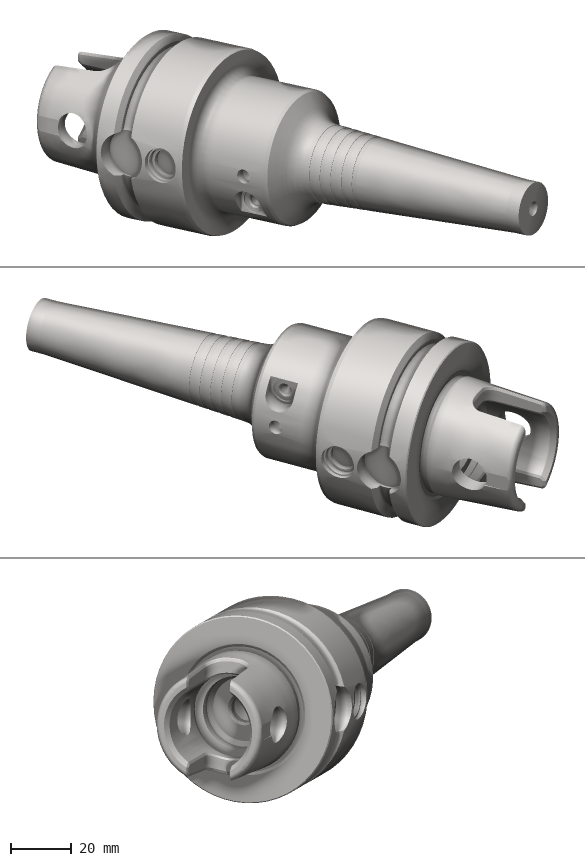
import cadquery as cq
import math


total_length = 182.0
shank_nose_round = 1.8
shank_end = 29.8
relief_start = 30.8
flange_start = 31.8
v_groove_start = 38.4
v_groove_end = 45.1
flange_end = 65.2
body_end = 91.7
nose_cone_start = 92.8
nose_cone_end = 95.7
nose_taper_start = 102.1
tip_length = 5.0

shank_front_radius = 18.5
shank_back_radius = 20.2
relief_radius = 19.8
recess_floor_radius = 21.1
recess_mouth_radius = 22.0
recess_depth = 0.5
flange_radius = 63.0 / 2
v_groove_radius = 27.8
body_radius = 23.0
nose_cone_start_radius = 22.4
nose_cone_end_radius = 17.1
nose_radius = 13.3
tip_radius = 18.0 / 2
flange_chamfer = 0.4
flange_back_chamfer = 1.5
v_groove_bevel = 1.3
v_groove_lip = 2.2
body_fillet = 3.1

cavity_mouth_radius = 15.5
cavity_radius = 14.2
cavity_step_radius = 12.2
cavity_floor_radius = 10.7
cavity_mouth_length = 1.8
undercut_start = 24.2
undercut_depth = 1.0
cavity_step = 27.3
cavity_step_end = 31.0
cavity_floor = 32.8
coolant_mouth_diameter = 11.0
coolant_bore_diameter = 9.3
coolant_diameter = 5.0
coolant_bore_length = 3.6

slot_width = 14.4
slot_end = 20.5
slot_corner = 4.2
slot_chamfer = 0.5
shank_hole_x = 15.0
shank_hole_diameter = 12.0
flat_width = 5.3
flat_height = 18.4

gripper_hole_x = 41.9
gripper_hole_diameter = 16.0
gripper_hole_floor = 25.8
data_hole_x = 57.0
data_hole_diameter = 11.0
data_hole_mouth_diameter = 12.0
data_hole_floor_diameter = 9.0
data_hole_mouth_depth = 1.8
data_hole_step_depth = 3.6
data_hole_depth = 5.5

body_cut_x = 83.9
small_hole_z = -1.1
small_hole_diameter = 5.0
small_hole_depth = 3.6
small_hole_tip_diameter = 2.4
pocket_z = -11.6
pocket_width = 10.0
pocket_floor = 16.4
screw_diameter = 8.0
screw_gap_depth = 0.5
screw_socket_diameter = 4.0
screw_socket_mouth_diameter = 5.0
screw_socket_depth = 1.8

ring_count = 5
ring_start = 103.2
ring_pitch = 4.0
ring_width = 1.6
ring_depth = 0.2

pick_margin = 0.2
cutter_overshoot = 1.8


def nose_radius_at(x):
    """Radius of the long nose taper at position x."""
    taper_length = total_length - tip_length - nose_taper_start
    return nose_radius + (tip_radius - nose_radius) * (x - nose_taper_start) / taper_length


def revolve_about_x(profile):
    return profile.close().revolve(360, (0, 0, 0), (1, 0, 0))


def side_cylinder(x, z, diameter, y_inner, y_outer):
    """Cylinder on the -Y side, reaching from y = -y_outer in to y = -y_inner."""
    return (
        cq.Workplane("XZ", origin=(x, 0, z))
        .workplane(offset=y_inner)
        .circle(diameter / 2)
        .extrude(y_outer - y_inner)
    )


def side_cone(x, z, outer_diameter, inner_diameter, y_outer):
    """Cone on the -Y side with 45 degree flanks, narrowing inward from y = -y_outer."""
    depth = (outer_diameter - inner_diameter) / 2
    base = cq.Vector(x, -y_outer, z)
    cone = cq.Solid.makeCone(outer_diameter / 2, inner_diameter / 2, depth, base, cq.Vector(0, 1, 0))
    return cq.Workplane(cone)


def cut_both_sides(part, cutter):
    """Cut on the -Y side and again half a turn round the X axis."""
    return part.cut(cutter).cut(cutter.rotate((0, 0, 0), (1, 0, 0), 180))


def make_outline():
    tip_start = total_length - tip_length
    lip_bottom = flange_radius - v_groove_lip
    diagonal = math.sqrt(0.5)
    round_mid = (
        shank_nose_round * (1 - diagonal),
        shank_front_radius - shank_nose_round * (1 - diagonal),
    )
    fillet_mid = (
        flange_end + body_fillet * (1 - diagonal),
        body_radius + body_fillet * (1 - diagonal),
    )
    profile = (
        cq.Workplane("XY")
        .lineTo(0, shank_front_radius - shank_nose_round)
        .threePointArc(round_mid, (shank_nose_round, shank_front_radius))
        .lineTo(shank_end, shank_back_radius)
        .lineTo(relief_start, relief_radius)
        .lineTo(flange_start + recess_depth, relief_radius)
        .lineTo(flange_start + recess_depth, recess_floor_radius)
        .lineTo(flange_start, recess_mouth_radius)
        .lineTo(flange_start, flange_radius - flange_chamfer)
        .lineTo(flange_start + flange_chamfer, flange_radius)
        .lineTo(v_groove_start, flange_radius)
        .lineTo(v_groove_start + v_groove_bevel, lip_bottom)
        .lineTo(v_groove_start + v_groove_bevel, v_groove_radius)
        .lineTo(v_groove_end - v_groove_bevel, v_groove_radius)
        .lineTo(v_groove_end - v_groove_bevel, lip_bottom)
        .lineTo(v_groove_end, flange_radius)
        .lineTo(flange_end - flange_back_chamfer, flange_radius)
        .lineTo(flange_end, flange_radius - flange_chamfer)
        .lineTo(flange_end, body_radius + body_fillet)
        .threePointArc(fillet_mid, (flange_end + body_fillet, body_radius))
        .lineTo(body_end, body_radius)
        .lineTo(nose_cone_start, nose_cone_start_radius)
        .lineTo(nose_cone_end, nose_cone_end_radius)
        .tangentArcPoint((nose_taper_start, nose_radius), relative=False)
        .lineTo(tip_start, tip_radius)
        .lineTo(total_length, tip_radius)
        .lineTo(total_length, 0)
    )
    return revolve_about_x(profile)


def make_cavity():
    cone_start = cavity_floor + coolant_bore_length
    mouth_chamfer = (coolant_mouth_diameter - coolant_bore_diameter) / 2
    cone_length = (coolant_bore_diameter - coolant_diameter) / 2
    profile = (
        cq.Workplane("XY")
        .lineTo(0, cavity_mouth_radius)
        .lineTo(cavity_mouth_length, cavity_radius)
        .lineTo(undercut_start, cavity_radius)
        .lineTo(undercut_start + undercut_depth, cavity_radius + undercut_depth)
        .lineTo(cavity_step, cavity_radius + undercut_depth)
        .lineTo(cavity_step, cavity_step_radius)
        .lineTo(cavity_step_end, cavity_step_radius)
        .lineTo(cavity_floor, cavity_floor_radius)
        .lineTo(cavity_floor, coolant_mouth_diameter / 2)
        .lineTo(cavity_floor + mouth_chamfer, coolant_bore_diameter / 2)
        .lineTo(cone_start, coolant_bore_diameter / 2)
        .lineTo(cone_start + cone_length, coolant_diameter / 2)
        .lineTo(total_length, coolant_diameter / 2)
        .lineTo(total_length, 0)
    )
    return revolve_about_x(profile)


def radius_of(edge):
    """Distance from the X axis to the middle of an edge."""
    middle = edge.positionAt(0.5)
    return math.hypot(middle.y, middle.z)


def chamfer_slot(part, smallest_radius, largest_radius, size):
    """Chamfer the slot edges that lie between two radii."""
    around_slot = cq.selectors.BoxSelector(
        (pick_margin, -slot_width, -flange_radius), (slot_end + pick_margin, slot_width, flange_radius)
    )
    edges = [
        edge
        for edge in part.edges(around_slot).vals()
        if smallest_radius < radius_of(edge) < largest_radius
        and abs(edge.positionAt(0.5).y) < slot_width / 2 + pick_margin
    ]
    return part.newObject(edges).chamfer(size)


def hollow_shank(part):
    """Cut the drive slot across the shank and bore the clamping cavity."""
    slot = (
        cq.Workplane("XY")
        .box(2 * slot_end, slot_width, 2 * flange_radius)
        .edges("|Z and >X")
        .fillet(slot_corner)
    )
    middle_radius = (cavity_mouth_radius + shank_front_radius) / 2
    part = chamfer_slot(part.cut(slot), middle_radius, flange_radius, slot_chamfer)
    part = part.cut(make_cavity())
    return chamfer_slot(part, cavity_step_radius, middle_radius - slot_chamfer, slot_chamfer)


def cut_shank_sides(part):
    flat = (
        cq.Workplane("XZ", origin=(0, -flat_height, 0))
        .rect(2 * shank_hole_x, flat_width)
        .extrude(shank_back_radius - flat_height)
    )
    cross_hole = side_cylinder(shank_hole_x, 0, shank_hole_diameter, 0, flange_radius)
    part = cut_both_sides(part, flat)
    return cut_both_sides(part, cross_hole)


def cut_flange(part):
    gripper_hole = side_cylinder(
        gripper_hole_x, 0, gripper_hole_diameter, gripper_hole_floor, flange_radius
    )
    part = cut_both_sides(part, gripper_hole)
    steps = (
        (data_hole_mouth_diameter, data_hole_mouth_depth),
        (data_hole_diameter, data_hole_step_depth),
        (data_hole_floor_diameter, data_hole_depth),
    )
    for diameter, depth in steps:
        step = side_cylinder(data_hole_x, 0, diameter, flange_radius - depth, flange_radius)
        part = cut_both_sides(part, step)
    return part


def cut_body(part):
    hole_floor = body_radius - small_hole_depth
    small_hole = side_cylinder(
        body_cut_x, small_hole_z, small_hole_diameter, hole_floor, body_radius
    ).union(side_cone(body_cut_x, small_hole_z, small_hole_diameter, small_hole_tip_diameter, hole_floor))
    part = cut_both_sides(part, small_hole)

    round_end = side_cylinder(body_cut_x, pocket_z, pocket_width, pocket_floor, body_radius)
    open_end = (
        cq.Workplane("XY", origin=(body_cut_x, -pocket_floor, pocket_z))
        .box(pocket_width, body_radius, body_radius, centered=(True, False, False))
        .rotate((0, -pocket_floor, pocket_z), (1, -pocket_floor, pocket_z), 180)
    )
    part = cut_both_sides(part, round_end.union(open_end))

    socket_floor = pocket_floor - screw_socket_depth
    head = side_cylinder(body_cut_x, pocket_z, screw_diameter, pocket_floor - screw_gap_depth, pocket_floor)
    socket = side_cylinder(body_cut_x, pocket_z, screw_socket_diameter, socket_floor, pocket_floor)
    socket_tip = side_cone(body_cut_x, pocket_z, screw_socket_diameter, 0, socket_floor)
    socket_mouth = side_cone(
        body_cut_x, pocket_z, screw_socket_mouth_diameter, screw_socket_diameter, pocket_floor - screw_gap_depth
    )
    for cutter in (head, socket, socket_tip, socket_mouth):
        part = cut_both_sides(part, cutter)
    return part


def cut_rings(part):
    for index in range(ring_count):
        start = ring_start + index * ring_pitch
        end = start + ring_width
        profile = (
            cq.Workplane("XY")
            .moveTo(start, nose_radius_at(start) - ring_depth)
            .lineTo(start, nose_radius + cutter_overshoot)
            .lineTo(end, nose_radius + cutter_overshoot)
            .lineTo(end, nose_radius_at(end) - ring_depth)
        )
        part = part.cut(revolve_about_x(profile))
    return part


result = hollow_shank(make_outline())
result = cut_shank_sides(result)
result = cut_flange(result)
result = cut_body(result)
result = cut_rings(result)